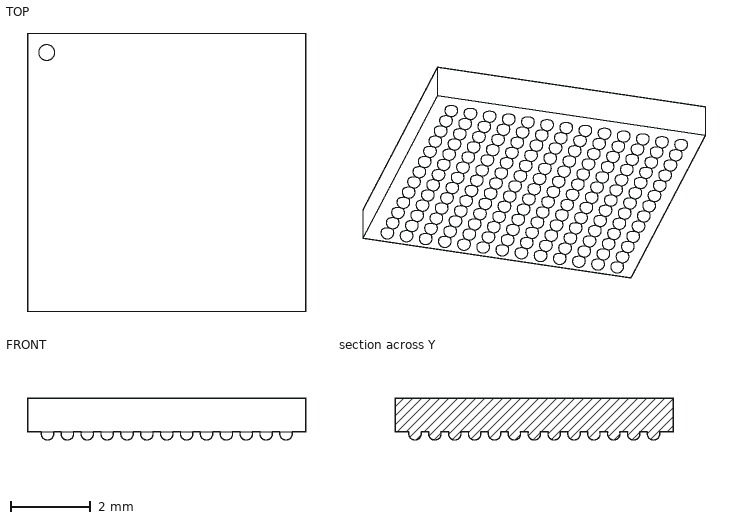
import cadquery as cq

body_side = 7.0
total_height = 1.06
standoff = 0.21
body_height = total_height - standoff

balls_per_side = 13
ball_pitch = 0.5
ball_radius = 0.32 / 2

mark_diameter = 0.4
mark_depth = 0.01
mark_inset = 0.48
mark_offset = body_side / 2 - mark_inset


def make_body():
    """Square slab raised above the seating plane by the standoff."""
    return (
        cq.Workplane("XY", origin=(0, 0, standoff))
        .rect(body_side, body_side)
        .extrude(body_height)
    )


def cut_pin_one_mark(body):
    """Sink the round pin 1 mark into the top face."""
    mark = (
        cq.Workplane("XY", origin=(0, 0, total_height))
        .center(-mark_offset, mark_offset)
        .circle(mark_diameter / 2)
        .extrude(-mark_depth)
    )
    return body.cut(mark)


def make_balls():
    """Grid of spheres resting on Z = 0 with their tops buried in the body."""
    ball = cq.Workplane("XY").sphere(ball_radius).val()
    return (
        cq.Workplane("XY", origin=(0, 0, ball_radius))
        .rarray(ball_pitch, ball_pitch, balls_per_side, balls_per_side)
        .eachpoint(lambda place: ball.moved(place), combine=False)
    )


marked_body = cut_pin_one_mark(make_body())
balls = make_balls()
fused = marked_body.val().fuse(*balls.vals())
result = cq.Workplane("XY").newObject(fused.Solids())